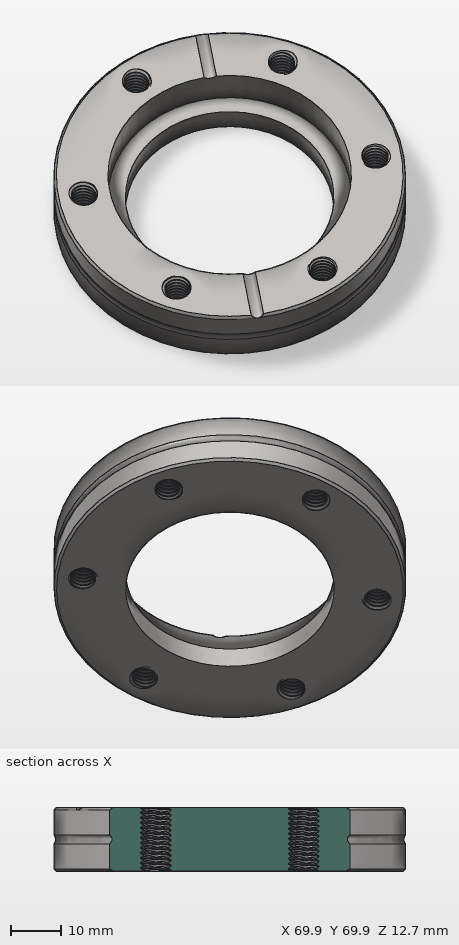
import cadquery as cq
import math

outer_diameter = 69.85
thickness = 12.7
bore_diameter = 41.4
recess_diameter = 48.31
recess_depth = 7.6
rim_chamfer = 0.5

rim_groove_width = 1.8
rim_groove_depth = 0.3

leak_groove_width = 2.5
leak_groove_depth = 0.5
leak_groove_angle = 120.0

hole_count = 6
first_hole_angle = 30.0
bolt_circle_diameter = 58.7
thread_diameter = 6.0
thread_pitch = 1.0
countersink_diameter = 5.5
thread_phase = -45.0
thread_overrun = 2 * thread_pitch
thread_overlap = 0.05

outer_radius = outer_diameter / 2
bolt_circle_radius = bolt_circle_diameter / 2
top_z = thickness / 2
bottom_z = -top_z

thread_angle = 60.0
flank_slope = math.tan(math.radians(thread_angle / 2))
thread_triangle_height = thread_pitch / 2 / flank_slope
thread_depth = 5 / 8 * thread_triangle_height
root_flat = thread_pitch / 8
root_radius = thread_diameter / 2
minor_radius = root_radius - thread_depth
countersink_radius = countersink_diameter / 2
blank_radius = 2 * root_radius


def arc_radius(width, depth):
    """Radius of the circular arc with the given chord width and depth."""
    return ((width / 2) ** 2 + depth**2) / (2 * depth)


def ring_body():
    """Chamfered disc with a through bore and a wider recess from the top."""
    disc = cq.Workplane("XY", origin=(0, 0, bottom_z)).circle(outer_radius).extrude(thickness)
    disc = disc.edges("%CIRCLE").chamfer(rim_chamfer)
    return disc.faces(">Z").workplane().cboreHole(bore_diameter, recess_diameter, recess_depth)


def rim_groove():
    """Torus that cuts a round groove into the rim."""
    radius = arc_radius(rim_groove_width, rim_groove_depth)
    centre_distance = outer_radius - rim_groove_depth + radius
    section = cq.Workplane("XZ").center(centre_distance, 0).circle(radius)
    return section.revolve(360, (-centre_distance, 0), (-centre_distance, 1))


def leak_grooves():
    """Cylinder lying across the top face, which cuts both leak-check grooves."""
    radius = arc_radius(leak_groove_width, leak_groove_depth)
    axis_z = top_z - leak_groove_depth + radius
    cylinder = cq.Workplane("YZ").center(0, axis_z).circle(radius).extrude(outer_radius, both=True)
    return cylinder.rotate((0, 0, 0), (0, 0, 1), leak_groove_angle)


def tapping_hole():
    """Plain minor-diameter cylinder of the hole on the +X axis."""
    start = cq.Workplane("XY", origin=(bolt_circle_radius, 0, bottom_z))
    return start.circle(minor_radius).extrude(thickness)


def countersink():
    """Downward-pointing cone with 45 degree walls that opens the hole on the +X axis at the top face."""
    apex = cq.Vector(bolt_circle_radius, 0, top_z - countersink_radius)
    return cq.Workplane(cq.Solid.makeCone(0, countersink_radius, countersink_radius, pnt=apex))


def thread_groove():
    """Right-handed helical thread groove of the hole on the +X axis, running past both faces."""
    helix_height = thickness + 2 * thread_overrun
    inner_radius = minor_radius - thread_overlap
    root_half_width = root_flat / 2
    mouth_half_width = root_half_width + (root_radius - inner_radius) * flank_slope
    helix = cq.Workplane(cq.Wire.makeHelix(thread_pitch, helix_height, minor_radius))
    profile = cq.Workplane("XZ").polyline(
        [
            (inner_radius, -mouth_half_width),
            (root_radius, -root_half_width),
            (root_radius, root_half_width),
            (inner_radius, mouth_half_width),
        ]
    ).close()
    groove = profile.sweep(helix, isFrenet=True)
    turns_to_top = math.ceil((thickness + thread_pitch) / thread_pitch)
    start_z = top_z - turns_to_top * thread_pitch
    groove = groove.rotate((0, 0, 0), (0, 0, 1), thread_phase)
    return groove.translate((bolt_circle_radius, 0, start_z))


def threaded_hole():
    """Void of the tapped hole on the +X axis: what tapping removes from a plain blank."""
    start = cq.Workplane("XY", origin=(bolt_circle_radius, 0, bottom_z))
    blank = start.circle(blank_radius).extrude(thickness)
    tapped_blank = blank.cut(countersink()).cut(thread_groove()).cut(tapping_hole())
    return blank.cut(tapped_blank)


def cut_threaded_holes(body):
    """Cut the ring of tapped holes."""
    hole = threaded_hole()
    for index in range(hole_count):
        angle = first_hole_angle + index * 360 / hole_count
        body = body.cut(hole.rotate((0, 0, 0), (0, 0, 1), angle))
    return body


result = cut_threaded_holes(ring_body().cut(rim_groove()).cut(leak_grooves()))